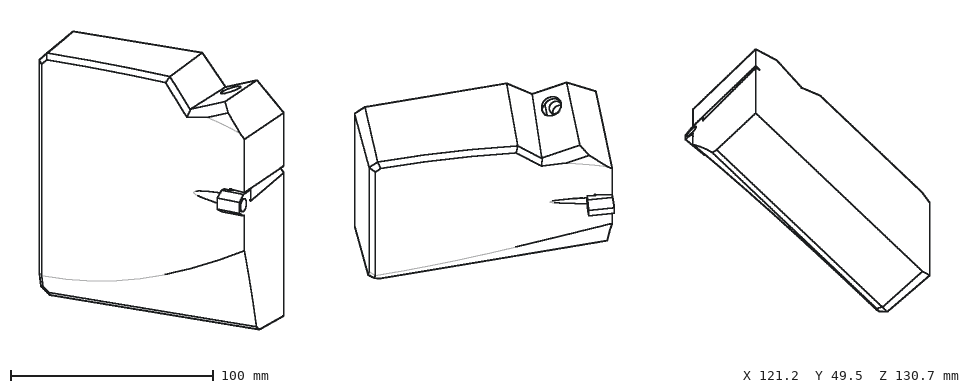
import cadquery as cq
import math

WIDTH = 121.2
HEIGHT = 130.7
OVERHANG = 6.5
DRAFT = 3.0
CORNER = 5.2
EDGE_CHAMFER = 2.5
BLANK_DEPTH = 58.8
SIDE_WALL_Y = -15.7

TOP_END_X = 76.3
NOTCH_X = 89.2
NOTCH_Z = 114.8
SLOPE_MARGIN = 26.1

FRONT_Y = -33.0
BULGE_START_X = 7.8
BULGE_RADIUS = 590.9

LOWER_ARC_FOOT = (-29.4, 0.0)
LOWER_ARC_MIDDLE = (-36.7, 26.1)
LOWER_ARC_HEAD = (-47.8, 58.8)

PEAK_SLOPE = 20.0
PEAK_X = 106.4
BLOCK_START_X = 82.6
BLOCK_BOTTOM_Z = 78.5
BLOCK_HALF_LENGTH = 26.1
BLOCK_DROP = 45.8
BLOCK_EDGE_Y = -35.5
STEEP_DROP = 5.0
STEEP_Y = -40.0
SHALLOW_SLOPE = 0.32

POCKET_X = 96.9
POCKET_Y = -10.0
POCKET_DIAMETER = 10.2
POCKET_DEPTH = 2.6
POCKET_FLOOR_WIDTH = 7.3
POCKET_SIDE_BULGE = 0.4
HOLE_DIAMETER = 6.5
HOLE_OFFSET = 1.3
HOLE_DEPTH = 7.8

TUBE_TILT = 4.0
TUBE_START_X = 108.8
TUBE_Z = 72.2
TUBE_AXIS_Y = -45.0
TUBE_HALF_WIDTH = 5.6
TUBE_FLAT_HALF_WIDTH = 2.9
TUBE_RISE = 4.5
TUBE_ROOT = 7.8
TUBE_REACH = 19.6
TUBE_BORE = 6.5
GROOVE_DIAMETER = 8.1
GROOVE_LENGTH = 26.1

slope_angle = math.radians(PEAK_SLOPE)
far_x = WIDTH + OVERHANG


def block_top_z(x):
    """Z of the block's sloping top at a given X."""
    return NOTCH_Z + (x - NOTCH_X) * math.tan(slope_angle)


def bulge_y(x):
    """Y of the bulging front face at a given X."""
    run = x - BULGE_START_X
    return FRONT_Y - BULGE_RADIUS + math.sqrt(BULGE_RADIUS**2 - run**2)


def bulge_envelope():
    """Everything behind the bulging front face."""
    middle_x = WIDTH / 2
    return (
        cq.Workplane("XY")
        .moveTo(-OVERHANG, 0)
        .lineTo(-OVERHANG, bulge_y(-OVERHANG))
        .threePointArc((middle_x, bulge_y(middle_x)), (far_x, bulge_y(far_x)))
        .lineTo(far_x, 0)
        .close()
        .extrude(HEIGHT)
    )


def lower_envelope():
    """Everything behind the lower front face."""
    return (
        cq.Workplane("YZ", origin=(-OVERHANG, 0, 0))
        .moveTo(0, 0)
        .lineTo(*LOWER_ARC_FOOT)
        .threePointArc(LOWER_ARC_MIDDLE, LOWER_ARC_HEAD)
        .lineTo(-BLANK_DEPTH, HEIGHT)
        .lineTo(0, HEIGHT)
        .close()
        .extrude(WIDTH + 2 * OVERHANG)
    )


def drafted_blank(outline):
    """Extrude an XZ outline toward -Y with draft on its sides."""
    return cq.Workplane("XZ").polyline(outline).close().extrude(BLANK_DEPTH, taper=DRAFT)


def chamfer_front(walls):
    """Chamfer the edges where the given side walls meet the front."""
    front_edges = walls.edges().filter(lambda edge: edge.BoundingBox().ymax < SIDE_WALL_Y)
    return front_edges.chamfer(EDGE_CHAMFER)


def is_side_wall(face):
    """True for the left, top, bottom and corner walls of the housing."""
    box = face.BoundingBox()
    return box.ymin < SIDE_WALL_Y < box.ymax and box.xmin < WIDTH


def housing(envelope):
    """Drafted main body, chamfered along the left, top and bottom of its front."""
    blank_end_x = far_x + OVERHANG
    outline = [
        (0, CORNER),
        (CORNER, 0),
        (blank_end_x, 0),
        (blank_end_x, HEIGHT),
        (CORNER, HEIGHT),
        (0, HEIGHT - CORNER),
    ]
    body = drafted_blank(outline).intersect(envelope)
    return chamfer_front(body.faces().filter(is_side_wall))


def is_slope_face(face):
    """True for the face that looks up and to the right."""
    normal = face.normalAt()
    return normal.x > 0.5 and normal.z > 0.3


def slope_envelope(bulge):
    """Everything left of the drafted slope that ends the top edge, chamfered at its front."""
    run_per_drop = (NOTCH_X - TOP_END_X) / (HEIGHT - NOTCH_Z)
    low_z = -SLOPE_MARGIN
    high_z = HEIGHT + SLOPE_MARGIN
    outline = [
        (-SLOPE_MARGIN, low_z),
        (NOTCH_X + (NOTCH_Z - low_z) * run_per_drop, low_z),
        (NOTCH_X + (NOTCH_Z - high_z) * run_per_drop, high_z),
        (-SLOPE_MARGIN, high_z),
    ]
    wedge = drafted_blank(outline).intersect(bulge)
    return chamfer_front(wedge.faces().filter(is_slope_face))


def corner_block(envelope):
    """Corner block whose sloping top is bevelled twice toward the front."""
    peak_z = block_top_z(PEAK_X)
    section_plane = cq.Plane(
        origin=(PEAK_X, 0, peak_z),
        xDir=(0, -1, 0),
        normal=(-math.cos(slope_angle), 0, -math.sin(slope_angle)),
    )
    section = [
        (0, 0),
        (-BLOCK_EDGE_Y, 0),
        (-STEEP_Y, -STEEP_DROP),
        (-STEEP_Y + SHALLOW_SLOPE * (BLOCK_DROP - STEEP_DROP), -BLOCK_DROP),
        (0, -BLOCK_DROP),
    ]
    bar = cq.Workplane(section_plane).polyline(section).close().extrude(BLOCK_HALF_LENGTH, both=True)
    side_outline = [
        (BLOCK_START_X, BLOCK_BOTTOM_Z),
        (WIDTH, BLOCK_BOTTOM_Z),
        (WIDTH, peak_z - (WIDTH - PEAK_X)),
        (PEAK_X, peak_z),
        (BLOCK_START_X, peak_z),
    ]
    side_limit = cq.Workplane("XZ").polyline(side_outline).close().extrude(BLANK_DEPTH)
    return bar.intersect(side_limit).intersect(envelope)


def block_pocket():
    """Round pocket with two hollow sides, and an offset hole in its floor."""
    centre = (POCKET_X, POCKET_Y, block_top_z(POCKET_X))
    up_slope = (math.cos(slope_angle), 0, math.sin(slope_angle))
    face_plane = cq.Plane(origin=centre, xDir=up_slope, normal=(-up_slope[2], 0, up_slope[0]))
    section_plane = cq.Plane(origin=centre, xDir=up_slope, normal=(0, -1, 0))
    radius = POCKET_DIAMETER / 2
    floor_half = POCKET_FLOOR_WIDTH / 2
    side_x = (radius + floor_half) / 2 + POCKET_SIDE_BULGE
    side_y = -POCKET_DEPTH / 2 - POCKET_SIDE_BULGE
    trough = (
        cq.Workplane(section_plane)
        .moveTo(-radius, 0)
        .threePointArc((-side_x, side_y), (-floor_half, -POCKET_DEPTH))
        .lineTo(floor_half, -POCKET_DEPTH)
        .threePointArc((side_x, side_y), (radius, 0))
        .close()
        .extrude(radius, both=True)
    )
    pocket = cq.Workplane(face_plane).circle(radius).extrude(-POCKET_DEPTH).intersect(trough)
    hole = (
        cq.Workplane(face_plane)
        .center(HOLE_OFFSET, 0)
        .circle(HOLE_DIAMETER / 2)
        .extrude(-HOLE_DEPTH)
    )
    return pocket.union(hole)


def add_tube(body):
    """Add the tilted tube, its bore and the groove that leads into it."""
    tilt = math.radians(TUBE_TILT)
    start_y = TUBE_AXIS_Y + (WIDTH - TUBE_START_X) * math.tan(tilt)
    start_plane = cq.Plane(
        origin=(TUBE_START_X, start_y, TUBE_Z),
        xDir=(-math.sin(tilt), -math.cos(tilt), 0),
        normal=(math.cos(tilt), -math.sin(tilt), 0),
    )
    section = [
        (-TUBE_ROOT, -TUBE_HALF_WIDTH),
        (0, -TUBE_HALF_WIDTH),
        (TUBE_RISE, -TUBE_FLAT_HALF_WIDTH),
        (TUBE_RISE, TUBE_FLAT_HALF_WIDTH),
        (0, TUBE_HALF_WIDTH),
        (-TUBE_ROOT, TUBE_HALF_WIDTH),
    ]
    tube = cq.Workplane(start_plane).polyline(section).close().extrude(TUBE_REACH)
    bore = cq.Workplane(start_plane).circle(TUBE_BORE / 2).extrude(TUBE_REACH)
    groove = cq.Workplane(start_plane).circle(GROOVE_DIAMETER / 2).extrude(-GROOVE_LENGTH)
    return body.union(tube).cut(groove).cut(bore)


def trim_box():
    """Box that ends at the flat end of the part."""
    box = cq.Workplane("XY").box(WIDTH, BLANK_DEPTH, HEIGHT, centered=False)
    return box.translate((0, -BLANK_DEPTH, 0))


bulge = bulge_envelope()
envelope = bulge.intersect(lower_envelope())
body = housing(envelope).intersect(slope_envelope(bulge))
body = body.union(corner_block(envelope))
body = add_tube(body).intersect(trim_box())
result = body.cut(block_pocket())